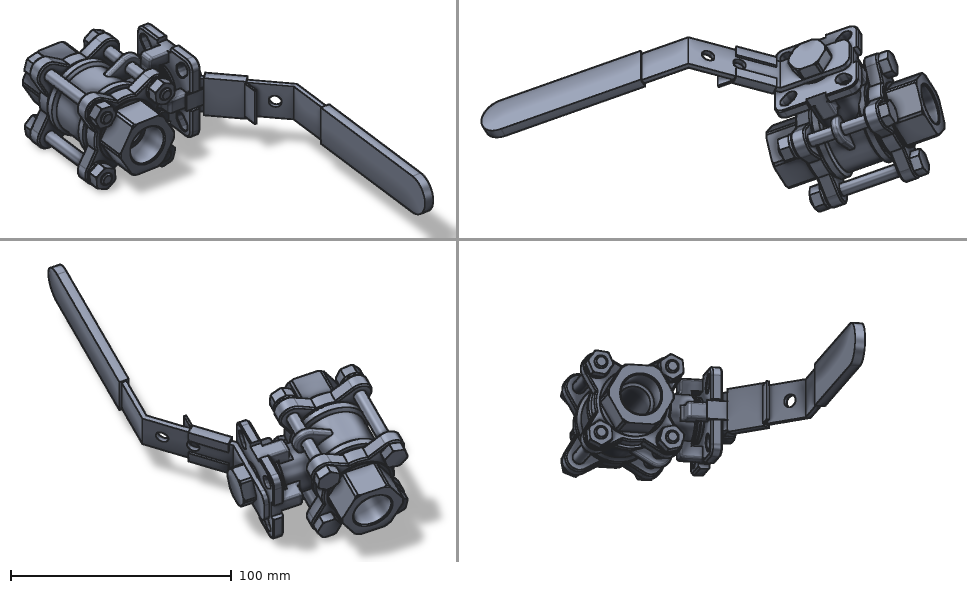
import cadquery as cq
import math


END_X = 37.7
HEX_FLATS = 27.5
HEX_CORNER_RADIUS = 15.5
HEX_CHAMFER = 0.8
BEVEL_CLEARANCE = 0.2
COLLAR_RADIUS = 15.6
COLLAR_LENGTH = 0.8
BORE_DIAMETER = 15.0
THREAD_DIAMETER = 18.7
THREAD_DEPTH = 14.1
THREAD_CHAMFER = 0.5

FLANGE_INNER_X = 14.7
FLANGE_OUTER_X = 21.9
FLANGE_FILLET = 0.8
FLANGE_RADIUS = 18.0
FLANGE_DISC_INNER_X = 14.1
LUG_RADIUS = 6.5
LUG_SIDE_ANGLE = 30
LUG_FOOT = 2.8

RIM_DIAMETER = 37.5
RIM_OUTER_X = 13.4
RIM_INNER_X = 10.2
RIM_SLOPE_X = 9.0
WAIST_RADIUS = 17.0
SEAL_RADIUS = 16.5
EAR_THICKNESS = 3.8
EAR_FILLET = 1.1

BOLT_OFFSET = 16.5
BOLT_DIAMETER = 6.0
BOLT_TIP_X = 29.8
BOLT_TIP_CHAMFER = 0.8
BOLT_HEX_RADIUS = 6.0
BOLT_HEX_CHAMFER = 0.4
HEAD_LENGTH = 4.7
BOLTS = [
    (-1, -1, 41, 35),
    (-1, 1, 15, 54),
    (1, -1, 0, 15),
    (1, 1, 35, 35),
]
WASHER_RADIUS = 5.8
WASHER_THICKNESS = 1.3
BOLT_NUT_LENGTH = 5.3

NECK_DIAMETER = 23.0
NECK_TOP_Y = 31.5
PLATE_BOTTOM_Y = 36.5
PLATE_TOP_Y = 41.9
PLATE_SIZE = 41.9
PLATE_CORNER_RADIUS = 4.7
PLATE_TOP_CHAMFER = 0.5
PLATE_BOTTOM_CHAMFER = 1.0
PLATE_HOLE_DIAMETER = 6.0
PLATE_HOLE_CHAMFER = 0.4
PLATE_HOLE_INNER = 12.8
PLATE_HOLE_OUTER = 14.9
RECESS_WIDTH = 9.8
ARM_WIDTH = 7.5
ARM_OUTER = 18.7
ARM_INNER = 13.0
ARM_BOTTOM_Y = 26.0
ARM_FILLET = 1.7
ARM_FOOT_FILLET = 1.5
ARM_EDGE_FILLET = 1.0

SPRING_DIAMETER = 21.1
SPRING_COUNT = 3
SPRING_THICKNESS = 1.1
SPRING_GAP = 0.4
SPRING_GAP_DIAMETER = 20.0
STEM_DIAMETER = 16.0
STEM_WASHER_DIAMETER = 18.7
STEM_END_DIAMETER = 10.2
TOP_NUT_FLATS = 17.3
TOP_NUT_CORNER_RADIUS = 9.6
TOP_NUT_HEIGHT = 6.2
TOP_NUT_CHAMFER = 0.8

LEVER_THICKNESS = 2.5
LEVER_WIDTH = 18.0
LEVER_CORNER_RADIUS = 4.7
LEVER_START_X = -18.3
LEVER_LOW_Y = 45.3
LEVER_HIGH_Y = 76.5
LEVER_BEND_X = 16.2
LEVER_BEND_ANGLE = 45
LEVER_HOLE_DIAMETER = 6.0
LEVER_HOLE_DISTANCES = (19.6, 34.7)

GRIP_START_X = 70.9
GRIP_END_X = 150.8
GRIP_WIDTH = 19.6
GRIP_THICKNESS = 4.7

SLIDE_WALL = 1.1
SLIDE_START = 2.0
SLIDE_END = 21.5
SLIDE_GAP = 8.7
TONGUE_WIDTH = 8.7
TONGUE_X = 19.0
TONGUE_BOTTOM_Y = 34.9
TAB_END_X = 41.3

WASHER_END_X = FLANGE_OUTER_X + WASHER_THICKNESS
SPRING_TOP_Y = NECK_TOP_Y + SPRING_COUNT * SPRING_THICKNESS + (SPRING_COUNT - 1) * SPRING_GAP
LEVER_BOTTOM_Y = LEVER_LOW_Y - LEVER_THICKNESS
LEVER_END_X = GRIP_END_X - GRIP_WIDTH / 2
SLOPE_ORIGIN = (LEVER_BEND_X, LEVER_LOW_Y, 0)


def x_plane(x):
    """Plane across the pipe axis with local axes Y and Z."""
    return cq.Workplane("YZ", origin=(x, 0, 0))


def y_plane(y):
    """Plane across the stem axis with local axes X and -Z, facing up the stem."""
    return cq.Workplane(cq.Plane(origin=(0, y, 0), xDir=(1, 0, 0), normal=(0, 1, 0)))


def x_cylinder(radius, x_start, x_end):
    return x_plane(x_start).circle(radius).extrude(x_end - x_start)


def y_cylinder(diameter, y_start, y_end):
    return y_plane(y_start).circle(diameter / 2).extrude(y_end - y_start)


def round_off(prism, plane, radius, length, chamfer):
    """Bevel the corners at the far end of a prism with a cone around its axis."""
    far_end = cq.DirectionMinMaxSelector(plane.plane.zDir * math.copysign(1, length))
    blank = plane.circle(radius).extrude(length)
    return prism.intersect(blank.faces(far_end).edges().chamfer(chamfer))


def cut_hexagon(plane, flats, corner_radius, length, chamfer):
    """Hexagon prism with a flat across the local Y axis, its six corners cut off flat and bevelled."""
    to_corner = 1 / math.cos(math.pi / 6)
    prism = plane.polygon(6, flats * to_corner).extrude(length)
    corner_cutter = plane.transformed(rotate=(0, 0, 30)).polygon(6, 2 * corner_radius * to_corner)
    prism = prism.intersect(corner_cutter.extrude(length))
    return round_off(prism, plane, corner_radius + BEVEL_CLEARANCE, length, chamfer)


def lug(x_start, x_end, y_side, z_side):
    """Lug towards one bolt: round end, straight sides down to feet on both sides, and the centre."""
    tilt = math.radians(LUG_SIDE_ANGLE)
    end_across = BOLT_OFFSET + LUG_RADIUS * math.cos(tilt)
    end_along = BOLT_OFFSET - LUG_RADIUS * math.sin(tilt)
    foot_across = end_across - (end_along - LUG_FOOT) * math.tan(tilt)
    tip = BOLT_OFFSET + LUG_RADIUS / math.sqrt(2)
    return (
        x_plane(x_start)
        .moveTo(0, 0)
        .lineTo(y_side * foot_across, z_side * LUG_FOOT)
        .lineTo(y_side * end_across, z_side * end_along)
        .threePointArc((y_side * tip, z_side * tip), (y_side * end_along, z_side * end_across))
        .lineTo(y_side * LUG_FOOT, z_side * foot_across)
        .close()
        .extrude(x_end - x_start)
    )


def make_cap():
    """End cap at +X: lugged flange, collar and pipe-end hexagon."""
    flange = x_cylinder(FLANGE_RADIUS, FLANGE_DISC_INNER_X, FLANGE_OUTER_X).edges().chamfer(FLANGE_FILLET)
    lugs = x_cylinder(COLLAR_RADIUS, FLANGE_INNER_X, FLANGE_OUTER_X)
    for y_side, z_side, _, _ in BOLTS:
        lugs = lugs.union(lug(FLANGE_INNER_X, FLANGE_OUTER_X, y_side, z_side))
    lugs = lugs.faces("<X or >X").edges().chamfer(FLANGE_FILLET)
    collar = x_cylinder(COLLAR_RADIUS, FLANGE_OUTER_X, FLANGE_OUTER_X + COLLAR_LENGTH)
    hexagon = cut_hexagon(
        x_plane(FLANGE_OUTER_X), HEX_FLATS, HEX_CORNER_RADIUS, END_X - FLANGE_OUTER_X, HEX_CHAMFER)
    return flange.union(lugs).union(collar).union(hexagon)


def make_barrel():
    """Turned centre piece with a raised rim at each end, and the seals that stand out of it."""
    rim = RIM_DIAMETER / 2
    barrel = (
        cq.Workplane("XY")
        .moveTo(-RIM_OUTER_X, 0)
        .lineTo(-RIM_OUTER_X, rim)
        .lineTo(-RIM_INNER_X, rim)
        .lineTo(-RIM_SLOPE_X, WAIST_RADIUS)
        .lineTo(RIM_SLOPE_X, WAIST_RADIUS)
        .lineTo(RIM_INNER_X, rim)
        .lineTo(RIM_OUTER_X, rim)
        .lineTo(RIM_OUTER_X, 0)
        .close()
        .revolve(360, (0, 0, 0), (1, 0, 0))
    )
    barrel = barrel.union(x_cylinder(SEAL_RADIUS, -FLANGE_INNER_X, FLANGE_INNER_X))
    for z_side in (-1, 1):
        ear = lug(-EAR_THICKNESS / 2, EAR_THICKNESS / 2, 1, z_side)
        barrel = barrel.union(ear.faces("<X or >X").edges().fillet(EAR_FILLET))
    return barrel


def make_bolt(y_side, z_side, head_turn, nut_turn):
    """Bolt with its head, washer and nut, all clamped to the flanges."""
    y = y_side * BOLT_OFFSET
    z = z_side * BOLT_OFFSET

    def hexagon(x_start, length, turn):
        plane = x_plane(x_start).center(y, z).transformed(rotate=(0, 0, turn))
        prism = plane.polygon(6, 2 * BOLT_HEX_RADIUS).extrude(length)
        return round_off(prism, plane, BOLT_HEX_RADIUS, length, BOLT_HEX_CHAMFER)

    head_start = -FLANGE_OUTER_X - HEAD_LENGTH
    shank = x_plane(head_start).center(y, z).circle(BOLT_DIAMETER / 2).extrude(BOLT_TIP_X - head_start)
    shank = shank.faces(">X").chamfer(BOLT_TIP_CHAMFER)
    washer = x_plane(FLANGE_OUTER_X).center(y, z).circle(WASHER_RADIUS).extrude(WASHER_THICKNESS)
    head = hexagon(-FLANGE_OUTER_X, -HEAD_LENGTH, head_turn)
    nut = hexagon(WASHER_END_X, BOLT_NUT_LENGTH, nut_turn)
    return shank.union(washer).union(head).union(nut)


def make_bracket_arm():
    """Arm from the neck out along +X and up to the bracket plate."""
    neck = NECK_DIAMETER / 2
    bend = ARM_FILLET * (1 - math.sqrt(0.5))
    foot = ARM_FOOT_FILLET * math.sqrt(0.5)
    foot_x = neck + ARM_FOOT_FILLET
    foot_y = ARM_BOTTOM_Y - ARM_FOOT_FILLET
    arm = (
        cq.Workplane("XY", origin=(0, 0, -ARM_WIDTH / 2))
        .moveTo(0, foot_y)
        .lineTo(neck, foot_y)
        .threePointArc((foot_x - foot, foot_y + foot), (foot_x, ARM_BOTTOM_Y))
        .lineTo(ARM_OUTER - ARM_FILLET, ARM_BOTTOM_Y)
        .threePointArc(
            (ARM_OUTER - bend, ARM_BOTTOM_Y + bend), (ARM_OUTER, ARM_BOTTOM_Y + ARM_FILLET))
        .lineTo(ARM_OUTER, PLATE_BOTTOM_Y)
        .lineTo(ARM_INNER, PLATE_BOTTOM_Y)
        .lineTo(ARM_INNER, NECK_TOP_Y)
        .lineTo(0, NECK_TOP_Y)
        .close()
        .extrude(ARM_WIDTH)
    )
    return arm.faces(">X").edges("|Y").fillet(ARM_EDGE_FILLET)


def make_bracket_plate():
    """Square actuator plate with a recess in each side and a slotted hole in each corner."""
    thickness = PLATE_TOP_Y - PLATE_BOTTOM_Y
    plate = y_plane(PLATE_BOTTOM_Y).rect(PLATE_SIZE, PLATE_SIZE).extrude(thickness)
    plate = plate.edges("|Y").fillet(PLATE_CORNER_RADIUS)
    plate = plate.faces(">Y").edges().chamfer(PLATE_TOP_CHAMFER)
    plate = plate.faces("<Y").edges().chamfer(PLATE_BOTTOM_CHAMFER)

    recess_depth = PLATE_SIZE / 2 - ARM_OUTER
    recess = y_plane(PLATE_BOTTOM_Y).rect(2 * recess_depth, RECESS_WIDTH).extrude(thickness)
    recess = recess.translate((PLATE_SIZE / 2, 0, 0))

    slot_centre = (PLATE_HOLE_INNER + PLATE_HOLE_OUTER) / 2
    slot_length = (PLATE_HOLE_OUTER - PLATE_HOLE_INNER) * math.sqrt(2) + PLATE_HOLE_DIAMETER
    slot = (
        y_plane(PLATE_BOTTOM_Y)
        .center(slot_centre, slot_centre)
        .slot2D(slot_length, PLATE_HOLE_DIAMETER, 45)
        .extrude(thickness)
    )
    slot_mouth = (
        y_plane(PLATE_BOTTOM_Y)
        .center(slot_centre, slot_centre)
        .slot2D(slot_length + 2 * PLATE_HOLE_CHAMFER, PLATE_HOLE_DIAMETER + 2 * PLATE_HOLE_CHAMFER, 45)
        .extrude(PLATE_HOLE_CHAMFER, taper=45)
    )
    slot = slot.union(slot_mouth)
    for turn in range(4):
        plate = plate.cut(recess.rotate((0, 0, 0), (0, 1, 0), 90 * turn))
        plate = plate.cut(slot.rotate((0, 0, 0), (0, 1, 0), 90 * turn))
    return plate


def make_housing():
    cap = make_cap()
    housing = make_barrel().union(cap).union(cap.mirror("YZ"))
    for bolt in BOLTS:
        housing = housing.union(make_bolt(*bolt))

    housing = housing.union(y_cylinder(NECK_DIAMETER, 0, NECK_TOP_Y))
    arm = make_bracket_arm()
    for turn in range(4):
        housing = housing.union(arm.rotate((0, 0, 0), (0, 1, 0), 90 * turn))
    plate = make_bracket_plate().cut(y_cylinder(STEM_DIAMETER, PLATE_BOTTOM_Y, PLATE_TOP_Y))
    housing = housing.union(plate)

    housing = housing.cut(x_cylinder(BORE_DIAMETER / 2, -END_X, END_X))
    for side in (-1, 1):
        mouth = x_plane(side * END_X).circle(THREAD_DIAMETER / 2 + THREAD_CHAMFER)
        chamfer = mouth.workplane(offset=-side * THREAD_CHAMFER).circle(THREAD_DIAMETER / 2).loft()
        thread = x_plane(side * END_X).circle(THREAD_DIAMETER / 2).extrude(-side * THREAD_DEPTH)
        housing = housing.cut(thread).cut(chamfer)
    return housing


def make_stem():
    """Stem through the bracket plate and the lever, with spring washers below and a nut on top."""
    stem = y_cylinder(STEM_DIAMETER, NECK_TOP_Y, PLATE_TOP_Y)
    stem = stem.union(y_cylinder(SPRING_GAP_DIAMETER, NECK_TOP_Y, SPRING_TOP_Y))
    for level in range(SPRING_COUNT):
        bottom = NECK_TOP_Y + level * (SPRING_THICKNESS + SPRING_GAP)
        stem = stem.union(y_cylinder(SPRING_DIAMETER, bottom, bottom + SPRING_THICKNESS))
    stem = stem.union(y_cylinder(STEM_WASHER_DIAMETER, PLATE_TOP_Y, LEVER_BOTTOM_Y))
    stem = stem.union(y_cylinder(STEM_END_DIAMETER, LEVER_BOTTOM_Y, LEVER_LOW_Y))
    nut = cut_hexagon(y_plane(LEVER_LOW_Y), TOP_NUT_FLATS, TOP_NUT_CORNER_RADIUS, TOP_NUT_HEIGHT,
                      TOP_NUT_CHAMFER)
    return stem.union(nut)


def slope_box(start, end, depth_start, depth_end, width):
    """Block along the sloping part of the lever; depth is measured down from its top surface."""
    plane = cq.Workplane("XY", origin=SLOPE_ORIGIN).transformed(rotate=(0, 0, LEVER_BEND_ANGLE))
    block = plane.center((start + end) / 2, -(depth_start + depth_end) / 2)
    return block.rect(end - start, depth_end - depth_start).extrude(width / 2, both=True)


def make_lever():
    inner_shift = LEVER_THICKNESS * math.tan(math.radians(LEVER_BEND_ANGLE / 2))
    high_bend_x = LEVER_BEND_X + LEVER_HIGH_Y - LEVER_LOW_Y
    high_bottom_y = LEVER_HIGH_Y - LEVER_THICKNESS
    lever = (
        cq.Workplane("XY")
        .polyline([
            (LEVER_START_X, LEVER_LOW_Y),
            (LEVER_BEND_X, LEVER_LOW_Y),
            (high_bend_x, LEVER_HIGH_Y),
            (LEVER_END_X, LEVER_HIGH_Y),
            (LEVER_END_X, high_bottom_y),
            (high_bend_x + inner_shift, high_bottom_y),
            (LEVER_BEND_X + inner_shift, LEVER_BOTTOM_Y),
            (LEVER_START_X, LEVER_BOTTOM_Y),
        ])
        .close()
        .extrude(LEVER_WIDTH / 2, both=True)
    )
    lever = lever.faces("<X").edges("|Y").fillet(LEVER_CORNER_RADIUS)
    lever = lever.cut(y_cylinder(STEM_END_DIAMETER, LEVER_BOTTOM_Y, LEVER_LOW_Y))
    for distance in LEVER_HOLE_DISTANCES:
        hole = (
            y_cylinder(LEVER_HOLE_DIAMETER, -LEVER_THICKNESS, 0)
            .translate((distance, 0, 0))
            .rotate((0, 0, 0), (0, 0, 1), LEVER_BEND_ANGLE)
            .translate(SLOPE_ORIGIN)
        )
        lever = lever.cut(hole)
    return lever


def make_grip(lever):
    """Flat sleeve with a fully rounded end and a pocket that holds the lever."""
    straight_length = LEVER_END_X - GRIP_START_X
    middle_y = LEVER_HIGH_Y - LEVER_THICKNESS / 2
    bottom_y = middle_y - GRIP_THICKNESS / 2
    flat = y_plane(bottom_y).center(GRIP_START_X + straight_length / 2, 0).rect(straight_length, GRIP_WIDTH)
    round_end = y_plane(bottom_y).center(LEVER_END_X, 0).circle(GRIP_WIDTH / 2)
    grip = flat.extrude(GRIP_THICKNESS).union(round_end.extrude(GRIP_THICKNESS))
    return grip.cut(lever)


def make_slide():
    """Channel folded around the lever, with a locking tongue at its foot and a finger tab at its top."""
    outer_width = LEVER_WIDTH + 2 * SLIDE_WALL
    bottom_depth = LEVER_THICKNESS + SLIDE_WALL
    slide = slope_box(SLIDE_START, SLIDE_END, -SLIDE_WALL, bottom_depth, outer_width)
    slide = slide.cut(slope_box(SLIDE_START, SLIDE_END, 0, LEVER_THICKNESS, LEVER_WIDTH))
    slide = slide.cut(slope_box(SLIDE_START, SLIDE_END, -SLIDE_WALL, 0, SLIDE_GAP))

    floor_top = LEVER_LOW_Y - LEVER_BEND_X - LEVER_THICKNESS * math.sqrt(2)
    floor_bottom = LEVER_LOW_Y - LEVER_BEND_X - bottom_depth * math.sqrt(2)

    tongue_back_x = TONGUE_X + SLIDE_WALL
    tongue = (
        cq.Workplane("XY")
        .moveTo(TONGUE_X, TONGUE_BOTTOM_Y)
        .lineTo(TONGUE_X, TONGUE_X + floor_top)
        .lineTo(tongue_back_x, tongue_back_x + floor_top)
        .lineTo(tongue_back_x, TONGUE_BOTTOM_Y)
        .close()
        .extrude(TONGUE_WIDTH / 2, both=True)
    )

    tab_start_x = LEVER_BEND_X + (SLIDE_END + LEVER_THICKNESS) / math.sqrt(2)
    tab_top = tab_start_x + floor_top
    tab_bottom = tab_top - SLIDE_WALL
    tab = (
        cq.Workplane("XY")
        .moveTo(tab_start_x, tab_top)
        .lineTo(TAB_END_X, tab_top)
        .lineTo(TAB_END_X, tab_bottom)
        .lineTo(tab_bottom - floor_bottom, tab_bottom)
        .lineTo(tab_bottom - floor_top, tab_bottom)
        .close()
        .extrude(LEVER_WIDTH / 2, both=True)
    )
    return slide.union(tongue).union(tab)


housing = make_housing()
stem = make_stem()
lever = make_lever()
grip = make_grip(lever)
slide = make_slide()

result = cq.Compound.makeCompound([housing.val(), stem.val(), lever.val(), grip.val(), slide.val()])